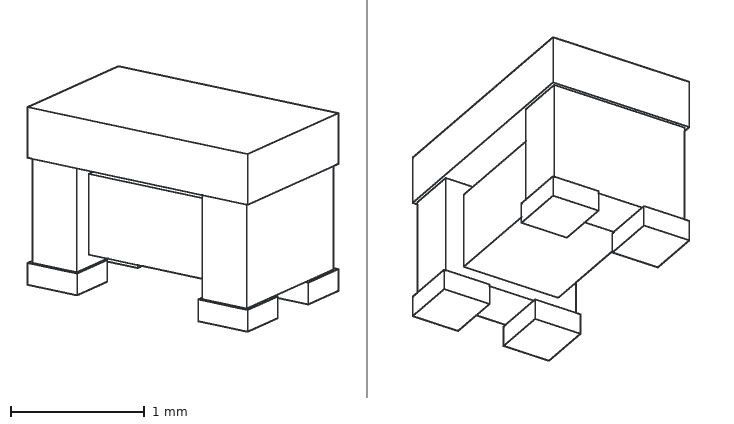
import cadquery as cq

length = 2.0
width = 1.2
height = 1.4

cover_height = 0.4

pad_length = 0.45
pad_width = 0.4
pad_height = 0.172

flange_inset = 0.025
flange_length = 0.405
flange_width = width - 2 * flange_inset
flange_height = height - cover_height - pad_height
bar_width = 0.832
bar_height = 0.635

flange_x = length / 2 - flange_inset - flange_length / 2
flange_middle_z = pad_height + flange_height / 2
bar_length = 2 * flange_x - flange_length


def make_cover():
    """Flat plate lying on top of both flanges."""
    cover_bottom = cq.Workplane("XY").workplane(offset=height - cover_height)
    return cover_bottom.rect(length, width).extrude(cover_height)


def make_core():
    """Bar with a flange at each end, centred at half the flange height."""
    core = cq.Workplane("XY").box(bar_length, bar_width, bar_height)
    for side in (-1, 1):
        flange = cq.Workplane("XY").box(flange_length, flange_width, flange_height)
        core = core.union(flange.translate((side * flange_x, 0, 0)))
    return core.translate((0, 0, flange_middle_z))


def make_pad(x_side, y_side):
    """Terminal pad under one corner, flush with the outer envelope."""
    pad_x = x_side * (length - pad_length) / 2
    pad_y = y_side * (width - pad_width) / 2
    return cq.Workplane("XY").center(pad_x, pad_y).rect(pad_length, pad_width).extrude(pad_height)


cover = make_cover()
core = make_core()
pads = [make_pad(x_side, y_side).val() for x_side in (-1, 1) for y_side in (-1, 1)]

result = cq.Compound.makeCompound([cover.val(), core.val(), *pads])